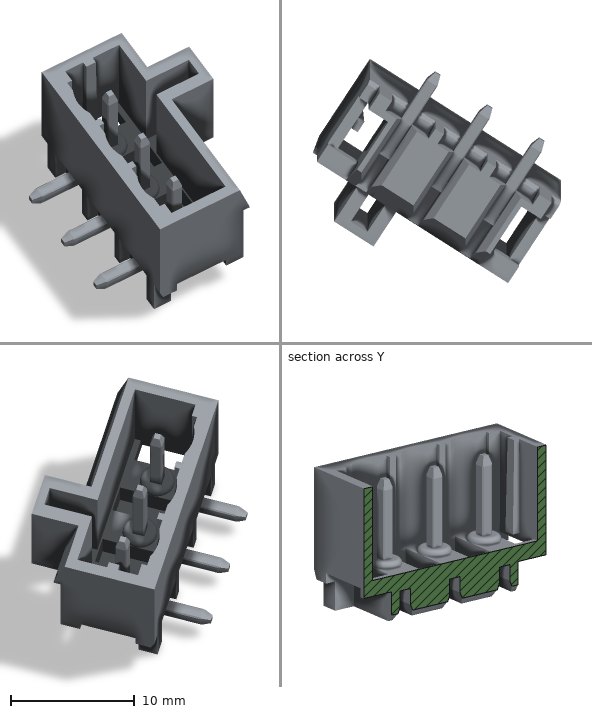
import cadquery as cq
import math


pitch = 5.0
pin_count = 3
pin_x = [(i - (pin_count - 1) / 2) * pitch for i in range(pin_count)]
gap_x = [(a + b) / 2 for a, b in zip(pin_x, pin_x[1:])]

housing_width = 18.4
housing_height = 12.0
end_wall = 0.92
cavity_width = housing_width - 2 * end_wall
back_y = 7.9
back_rim_y = 7.55
lip_y = 8.5
lip_z = 9.0
underside_z = 2.5
back_underside_z = 2.6
front_chamfer_y = 0.3
front_chamfer_z = 3.25

floor_z = 4.0
cavity_front_y = 1.65
cavity_back_y = 6.75
relief_y = 1.2
relief_width = 14.4
relief_radius = 3.0
tooth_width = 0.6

window_front_y = 1.6
window_back_y = 6.25
side_notch_z = 3.38
base_plate_y = 1.0
pin_bay_width = 4.17

tower_left = -5.2
tower_right = -1.42
tower_back_y = 11.5
tower_bottom_z = 4.0
channel_left = -4.07
channel_right = -2.48
channel_back_y = 10.77

collar_diameter = 2.8
collar_height = 0.5
collar_round = 0.4
pocket_front_y = 1.87
pocket_back_y = 6.63
pocket_depth = 2.0
base_width = (pin_count - 1) * pitch + collar_diameter

tab_y = 3.8
tab_bottom_width = 1.0
tab_top_width = 0.9
tab_bottom_reach = 0.68
tab_top_reach = 0.5

pin_size = 1.0
pin_edge_chamfer = 0.1
tip_size = 0.5
tip_length = 0.84
pin_y = 3.9
pin_z = 2.0
pin_front_y = -3.6
pin_top_z = 11.25

slot_flare_z = 1.15
slot_mouth_width = 1.95


def box(x0, x1, y0, y1, z0, z1):
    """Box between two opposite corners."""
    return cq.Workplane("XY").box(x1 - x0, y1 - y0, z1 - z0, centered=False).translate((x0, y0, z0))


def centered_box(x, width, y0, y1, z0, z1):
    """Box of a given width centred on x."""
    return box(x - width / 2, x + width / 2, y0, y1, z0, z1)


def extrude_side_profile(points, width):
    """Extrude a (y, z) outline symmetrically about X = 0."""
    return cq.Workplane("YZ").polyline(points).close().extrude(width / 2, both=True)


def square_bar(length):
    """Square bar along +Z from the origin."""
    return cq.Workplane("XY").rect(pin_size, pin_size).extrude(length)


def pin_leg(length):
    """Square leg along +Z from the origin, with broken edges and a tapered tip."""
    shaft_length = length - tip_length
    tip = (
        cq.Workplane("XY", origin=(0, 0, shaft_length))
        .rect(pin_size, pin_size)
        .workplane(offset=tip_length)
        .rect(tip_size, tip_size)
        .loft(combine=True)
    )
    tapered_bar = square_bar(shaft_length).union(tip)
    broken_bar = square_bar(length).edges("|Z").chamfer(pin_edge_chamfer)
    return tapered_bar.intersect(broken_bar)


def join_legs(upright, solder, x):
    """Join two legs at the bend: one turned up, the other turned to the front."""
    half = pin_size / 2
    elbow = centered_box(0, pin_size, -half, half, -half, half)
    solder = solder.rotate((0, 0, 0), (1, 0, 0), 90)
    return upright.union(solder).union(elbow).translate((x, pin_y, pin_z))


upright_length = pin_top_z - pin_z
solder_length = pin_y - pin_front_y


def make_pin(x):
    """Right-angle pin: one leg up into the cavity, one leg out of the front."""
    return join_legs(pin_leg(upright_length), pin_leg(solder_length), x)


def make_pin_hole(x):
    """Sharp-edged square passage that takes a pin."""
    return join_legs(square_bar(upright_length), square_bar(solder_length), x)


def make_shell():
    """Solid block with the front chamfer and the sloped latching lip at the back."""
    outline = [
        (0, housing_height),
        (0, front_chamfer_z),
        (front_chamfer_y, underside_z),
        (window_front_y, underside_z),
        (window_front_y, back_underside_z),
        (back_y, back_underside_z),
        (back_y, lip_z),
        (lip_y, lip_z),
        (back_rim_y, housing_height),
    ]
    return extrude_side_profile(outline, housing_width)


def make_base():
    """Lower block that holds the pins, with the front plate and the feet."""
    outline = [
        (base_plate_y, 0),
        (window_back_y, 0),
        (back_y, back_underside_z),
        (back_y, floor_z),
        (base_plate_y, floor_z),
    ]
    base = extrude_side_profile(outline, base_width)
    feet = centered_box(0, cavity_width, 0, window_front_y, 0, floor_z)
    for x in pin_x:
        feet = feet.cut(centered_box(x, pin_bay_width, 0, base_plate_y, 0, front_chamfer_z))
    return base.union(feet)


def make_tower():
    """Block behind the back wall that carries the keying channel."""
    return box(tower_left, tower_right, cavity_back_y, tower_back_y, tower_bottom_z, housing_height)


def make_cavity():
    """Open-topped cavity with the stepped and scalloped front wall."""
    cavity = centered_box(0, cavity_width, cavity_front_y, cavity_back_y, floor_z, housing_height)
    cavity = cavity.union(centered_box(0, relief_width, relief_y, cavity_front_y, floor_z, housing_height))
    for x in gap_x:
        cavity = cavity.cut(centered_box(x, tooth_width, relief_y, cavity_front_y, floor_z, housing_height))
    half_chord = math.sqrt(relief_radius**2 - (pin_y - relief_y) ** 2)
    for x in pin_x:
        scallop = (
            cq.Workplane("XY", origin=(x, 0, floor_z))
            .moveTo(-half_chord, relief_y)
            .threePointArc((0, pin_y - relief_radius), (half_chord, relief_y))
            .close()
            .extrude(housing_height - floor_z)
        )
        cavity = cavity.union(scallop)
    channel = box(channel_left, channel_right, cavity_back_y, channel_back_y, floor_z, housing_height)
    return cavity.union(channel)


def make_end_window(side):
    """Opening through the floor beside the base, running out under the end wall."""
    inner = base_width / 2
    window_center = side * (inner + cavity_width / 2) / 2
    window_width = cavity_width / 2 - inner
    window = centered_box(window_center, window_width, window_front_y, window_back_y, 0, floor_z)
    notch_center = side * (inner + housing_width / 2) / 2
    notch_width = housing_width / 2 - inner
    notch = centered_box(notch_center, notch_width, window_front_y, window_back_y, 0, side_notch_z)
    return window.union(notch)


def make_slot(x):
    """Slot from the pin down to the underside, flaring at its mouth."""
    half = pin_size / 2
    mouth = slot_mouth_width / 2
    slot_top_z = pin_z + half
    outline = [
        (-mouth, 0),
        (-half, slot_flare_z),
        (-half, slot_top_z),
        (half, slot_top_z),
        (half, slot_flare_z),
        (mouth, 0),
    ]
    slot = cq.Workplane("XZ").polyline(outline).close().extrude(-back_y)
    return slot.translate((x, 0, 0))


def make_collar(x):
    """Rounded collar that stands on the cavity floor around a pin."""
    collar = cq.Workplane("XY", origin=(x, pin_y, floor_z)).circle(collar_diameter / 2).extrude(collar_height)
    return collar.faces(">Z").edges().fillet(collar_round)


def make_coding_tab():
    """Small drafted tab on the left end wall; half of it is buried in the wall."""
    return (
        cq.Workplane("XY", origin=(-cavity_width / 2, tab_y, floor_z))
        .rect(2 * tab_bottom_reach, tab_bottom_width)
        .workplane(offset=housing_height - floor_z)
        .rect(2 * tab_top_reach, tab_top_width)
        .loft(combine=True)
    )


def make_housing():
    """Complete housing with its passages for the pins."""
    body = make_shell().union(make_base()).union(make_tower()).cut(make_cavity())
    for side in (-1, 1):
        body = body.cut(make_end_window(side))
    pocket_width = pitch - collar_diameter
    for x in gap_x:
        pocket = centered_box(x, pocket_width, pocket_front_y, pocket_back_y, floor_z - pocket_depth, floor_z)
        body = body.cut(pocket)
    for x in pin_x:
        body = body.union(make_collar(x)).cut(make_slot(x)).cut(make_pin_hole(x))
    body = body.union(make_coding_tab())
    return body


pins = [make_pin(x) for x in pin_x]
housing = make_housing()

result = cq.Compound.makeCompound([housing.val(), *[pin.val() for pin in pins]])